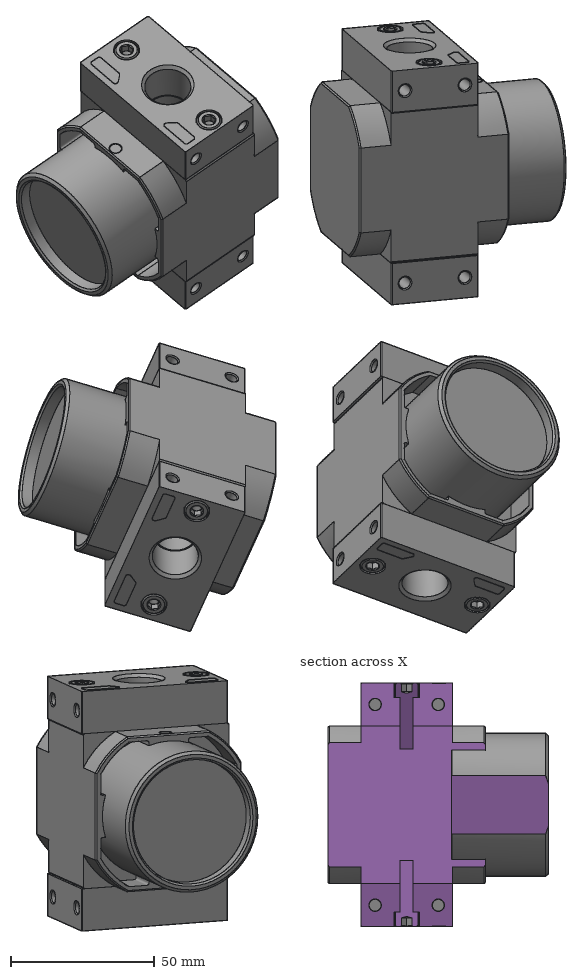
import cadquery as cq
import math

housing_width = 55.0
corner_radius = 31.5
edge_chamfer = 0.5

flange_width = housing_width
flange_depth = 32.0
total_height = 85
flange_height = (total_height - housing_width) / 2
flange_shift = 0.5
flange_edge_chamfer = 0.3

passage_diameter = 15.2
port_diameter = 16.1
port_rim_diameter = 18.3

end_hole_diameter = 4.2
end_hole_rim_diameter = 5.0
end_hole_depth = 10.0
end_hole_spacing = 22.0

label_inner_x = 12.5
label_edge_margin = 2.4
label_front_y = -13.5
label_height = 4.5
label_slant_width = 2.5
label_slant_height = 3.1
label_corner_radius = 0.85
label_depth = 0.2

screw_spacing = 43.0
head_diameter = 8.5
head_height = 5.0
head_top_diameter = 7.5
counterbore_diameter = 9.0
shank_diameter = 5.0
screw_length = 22.95
socket_width = 4.0
socket_rim_diameter = 4.85
socket_depth = 3.0
drill_point_angle = 118

knob_diameter = 50.0
knob_projection = 22.0
knob_chamfer = 1.0
dial_diameter = 44.0
dial_depth = 4.5
dial_chamfer = 0.7

pocket_depth = 11.7
pocket_wall = 1.9
rib_width = 15.0
pocket_end_radius = 0.8

pin_diameter = 4.2
pin_rim_diameter = 4.5
pin_length = 2.0
pin_y = -24.5

half_width = housing_width / 2
front_y = -half_width
top_z = total_height / 2
shoulder_z = top_z - head_height
screw_places = [(side * screw_spacing / 2, 0) for side in (-1, 1)]


def cylinder_y(diameter, y_start, length):
    """Cylinder about the Y axis that runs from y_start towards +Y."""
    return cq.Workplane("XZ", origin=(0, y_start, 0)).circle(diameter / 2).extrude(-length)


def cylinders_z(points, diameter, z_start, length):
    """Upright cylinders that rise from z_start."""
    return cq.Workplane("XY").workplane(offset=z_start).pushPoints(points).circle(diameter / 2).extrude(length)


def rim_cone(diameter, hole_diameter):
    """45 degree countersink cutter with its wide face at z = 0, pointing down."""
    depth = (diameter - hole_diameter) / 2
    return cq.Workplane("XY").circle(diameter / 2).extrude(-depth, taper=45)


def mirrored_below(body):
    return body.mirror("XY")


def corner_pocket(side_x, side_z):
    """Cutter for one pocket between two ribs; its outer side follows the housing outline."""
    inner = rib_width / 2
    outer = half_width - pocket_wall
    size = outer - inner
    middle = (inner + outer) / 2
    block = (
        cq.Workplane("XY")
        .box(size, pocket_depth, size)
        .edges("|Y")
        .fillet(pocket_end_radius)
        .translate((side_x * middle, front_y + pocket_depth / 2, side_z * middle))
    )
    return block.intersect(cylinder_y(2 * (corner_radius - pocket_wall), front_y, pocket_depth))


def make_housing():
    trimmed = (
        cq.Workplane("XY")
        .box(housing_width, housing_width, housing_width)
        .intersect(cylinder_y(2 * corner_radius, front_y, housing_width))
        .faces("<Y or >Y")
        .edges()
        .chamfer(edge_chamfer)
    )
    middle_block = (
        cq.Workplane("XY")
        .box(housing_width, flange_depth, housing_width)
        .edges("|Y")
        .chamfer(edge_chamfer)
    )
    body = trimmed.union(middle_block)

    body = body.cut(cylinder_y(knob_diameter, front_y, pocket_depth))
    for side_x in (-1, 1):
        for side_z in (-1, 1):
            body = body.cut(corner_pocket(side_x, side_z))

    body = body.cut(cylinders_z([(0, 0)], passage_diameter, -half_width, housing_width))
    shanks = cylinders_z(screw_places, shank_diameter, top_z - screw_length, screw_length)
    body = body.cut(shanks).cut(mirrored_below(shanks))
    body = body.cut(make_pin())
    return body.cut(rim_cone(pin_rim_diameter, pin_diameter).translate((0, pin_y, half_width)))


def label_field(side):
    """Cutter for one label field, with its slanted corner towards the port."""
    outer_x = flange_width / 2 - label_edge_margin - side * flange_shift
    back_y = label_front_y + label_height
    outline = [
        (outer_x, label_front_y),
        (label_inner_x, label_front_y),
        (label_inner_x, back_y - label_slant_height),
        (label_inner_x + label_slant_width, back_y),
        (outer_x, back_y),
    ]
    return (
        cq.Workplane("XY")
        .workplane(offset=top_z - label_depth)
        .polyline([(side * x, y) for x, y in outline])
        .close()
        .extrude(label_depth)
        .edges("|Z")
        .fillet(label_corner_radius)
    )


def end_hole(side, y):
    """Cutter for one threaded hole, bored inwards from a flange end."""
    hole = cq.Workplane("XY").circle(end_hole_diameter / 2).extrude(-end_hole_depth)
    hole = hole.union(rim_cone(end_hole_rim_diameter, end_hole_diameter))
    end_x = side * flange_width / 2 - flange_shift
    return hole.rotate((0, 0, 0), (0, 1, 0), side * 90).translate((end_x, y, top_z - flange_height / 2))


def make_flange():
    """Upper flange."""
    body = cq.Workplane("XY").box(flange_width, flange_depth, flange_height)
    body = body.edges("|Z").chamfer(flange_edge_chamfer)
    body = body.translate((-flange_shift, 0, top_z - flange_height / 2))

    body = body.cut(cylinders_z([(0, 0)], port_diameter, half_width, flange_height))
    body = body.cut(rim_cone(port_rim_diameter, port_diameter).translate((0, 0, top_z)))

    body = body.cut(cylinders_z(screw_places, shank_diameter, half_width, flange_height))
    body = body.cut(cylinders_z(screw_places, counterbore_diameter, shoulder_z, head_height))

    for side in (-1, 1):
        body = body.cut(label_field(side))
        for y in (-end_hole_spacing / 2, end_hole_spacing / 2):
            body = body.cut(end_hole(side, y))
    return body


def make_screw(place):
    """Socket head screw with its head flush with the top of the upper flange."""
    head = cylinders_z([place], head_diameter, shoulder_z, head_height)
    head = head.faces(">Z").chamfer((head_diameter - head_top_diameter) / 2)
    shank_length = screw_length - head_height
    body = head.union(cylinders_z([place], shank_diameter, top_z - screw_length, shank_length))

    point_depth = socket_width / 2 / math.tan(math.radians(drill_point_angle / 2))
    socket = (
        cq.Workplane("XY")
        .transformed(rotate=(0, 0, 90))
        .polygon(6, socket_width, circumscribed=True)
        .extrude(-socket_depth)
    )
    drill_point = cq.Solid.makeCone(
        socket_width / 2, 0, point_depth, pnt=cq.Vector(0, 0, -socket_depth), dir=cq.Vector(0, 0, -1)
    )
    socket = socket.union(cq.Workplane(drill_point)).union(rim_cone(socket_rim_diameter, socket_width))
    return body.cut(socket.translate((*place, top_z)))


def make_knob():
    outer_y = front_y - knob_projection
    body = cylinder_y(knob_diameter, outer_y, knob_projection + pocket_depth)
    body = body.faces("<Y").chamfer(knob_chamfer)
    dial = cylinder_y(dial_diameter, outer_y, dial_depth)
    rim = rim_cone(dial_diameter + 2 * dial_chamfer, dial_diameter)
    rim = rim.rotate((0, 0, 0), (1, 0, 0), 90).translate((0, outer_y, 0))
    return body.cut(dial).cut(rim)


def make_pin():
    return cylinders_z([(0, pin_y)], pin_diameter, half_width - pin_length, pin_length)


housing = make_housing()
knob = make_knob()
pin = make_pin()
upper_flange = make_flange()
upper_screws = [make_screw(place) for place in screw_places]

bodies = [housing, knob, pin]
for upper_body in [upper_flange, *upper_screws]:
    bodies.append(upper_body)
    bodies.append(mirrored_below(upper_body))

result = cq.Compound.makeCompound([body.solids().val() for body in bodies])